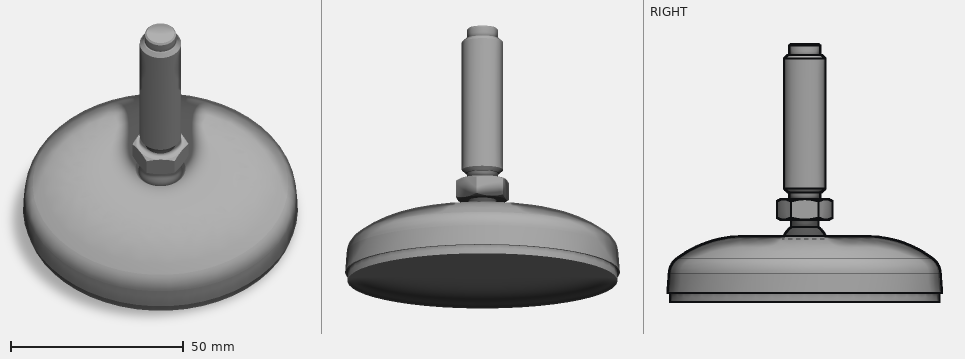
import cadquery as cq
import math

overall_height = 74.7
pad_height = 2.55
foot_height = 19.1
neck_bottom = 21.7
hex_bottom = 23.8
hex_height = 6.0
thread_bottom = 31.8
thread_top = 71.6

foot_diameter = 79.65
pad_diameter = 78.2
flat_top_diameter = 35.5
dome_radius = 32.0
dome_angle = math.radians(37)
rim_radius = 6.0
side_draft = math.radians(3.8)

socket_diameter = 14.5
socket_depth = 1.2
ball_radius = 6.7

neck_diameter = 8.05
relief_diameter = 9.0
thread_diameter = 12.0
thread_chamfer_diameter = 9.8
thread_chamfer_height = 1.0
tip_chamfer = 0.5
hex_across_flats = 14.0
hex_chamfer_angle = math.radians(30)

neck_radius = neck_diameter / 2
ball_center_z = neck_bottom - math.sqrt(ball_radius**2 - neck_radius**2)


def point_on_arc(center, radius, elevation):
    """Point of a profile arc (r, z) at an angle above horizontal."""
    return (
        center[0] + radius * math.cos(elevation),
        center[1] + radius * math.sin(elevation),
    )


def revolve_profile(profile):
    """Turn a closed (r, z) profile about the Z axis."""
    return profile.close().revolve(360, (0, 0, 0), (0, 1, 0))


def make_foot():
    """Domed foot with a conical socket around the ball."""
    flat_radius = flat_top_diameter / 2
    dome_center = (flat_radius, foot_height - dome_radius)
    dome_end_elevation = math.pi / 2 - dome_angle
    dome_mid_elevation = math.pi / 2 - dome_angle / 2
    rim_center = point_on_arc(dome_center, dome_radius - rim_radius, dome_end_elevation)
    rim_mid_elevation = (dome_end_elevation + side_draft) / 2
    socket_radius = socket_diameter / 2

    profile = (
        cq.Workplane("XZ")
        .lineTo(pad_diameter / 2, 0)
        .lineTo(pad_diameter / 2, pad_height)
        .lineTo(foot_diameter / 2, pad_height)
        .lineTo(*point_on_arc(rim_center, rim_radius, side_draft))
        .threePointArc(
            point_on_arc(rim_center, rim_radius, rim_mid_elevation),
            point_on_arc(rim_center, rim_radius, dome_end_elevation),
        )
        .threePointArc(
            point_on_arc(dome_center, dome_radius, dome_mid_elevation),
            (flat_radius, foot_height),
        )
        .lineTo(socket_radius, foot_height)
        .lineTo(socket_radius - socket_depth, foot_height - socket_depth)
        .lineTo(0, foot_height - socket_depth)
    )
    return revolve_profile(profile)


def make_stud():
    """Ball, neck, relief groove, thread body and tip as one turned piece."""
    relief_radius = relief_diameter / 2
    thread_radius = thread_diameter / 2
    thread_end_radius = thread_chamfer_diameter / 2
    ball_center = (0, ball_center_z)
    neck_elevation = math.acos(neck_radius / ball_radius)
    hex_middle = hex_bottom + hex_height / 2

    profile = (
        cq.Workplane("XZ")
        .moveTo(0, ball_center_z - ball_radius)
        .threePointArc(
            point_on_arc(ball_center, ball_radius, 0),
            point_on_arc(ball_center, ball_radius, neck_elevation),
        )
        .lineTo(neck_radius, hex_middle)
        .lineTo(relief_radius, hex_middle)
        .lineTo(relief_radius, thread_bottom)
        .lineTo(thread_end_radius, thread_bottom)
        .lineTo(thread_radius, thread_bottom + thread_chamfer_height)
        .lineTo(thread_radius, thread_top - thread_chamfer_height)
        .lineTo(thread_end_radius, thread_top)
        .lineTo(relief_radius, thread_top)
        .lineTo(relief_radius, overall_height - tip_chamfer)
        .lineTo(relief_radius - tip_chamfer, overall_height)
        .lineTo(0, overall_height)
    )
    return revolve_profile(profile)


def make_hex():
    """Wrench hexagon, flats facing +X and -X, corners chamfered at both ends."""
    flat_radius = hex_across_flats / 2
    corner_radius = flat_radius / math.cos(math.pi / 6)
    corner_drop = (corner_radius - flat_radius) * math.tan(hex_chamfer_angle)
    hex_top = hex_bottom + hex_height

    prism = (
        cq.Workplane("XY", origin=(0, 0, hex_bottom))
        .polygon(6, 2 * corner_radius)
        .extrude(hex_height)
        .rotate((0, 0, 0), (0, 0, 1), 30)
    )
    chamfer_envelope = revolve_profile(
        cq.Workplane("XZ")
        .moveTo(0, hex_bottom)
        .lineTo(flat_radius, hex_bottom)
        .lineTo(corner_radius, hex_bottom + corner_drop)
        .lineTo(corner_radius, hex_top - corner_drop)
        .lineTo(flat_radius, hex_top)
        .lineTo(0, hex_top)
    )
    return prism.intersect(chamfer_envelope)


result = make_foot().union(make_stud()).union(make_hex())